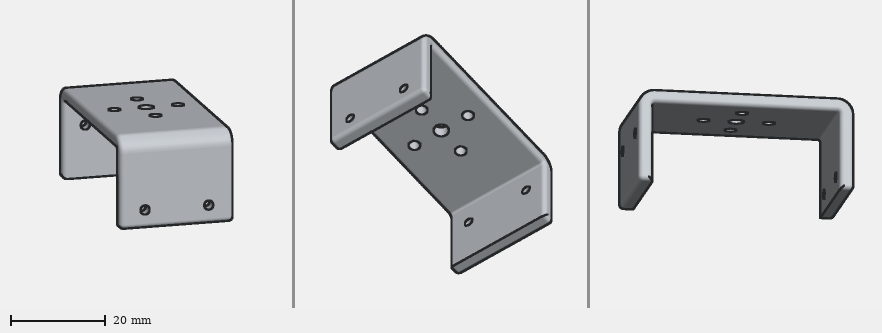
import cadquery as cq

LENGTH = 46.0
WIDTH = 25.0
HEIGHT = 20.0
THICKNESS = 3.0
BEND_OUTER_RADIUS = 3.5
BEND_INNER_RADIUS = BEND_OUTER_RADIUS - THICKNESS
EDGE_RADIUS = 1.0

CENTER_HOLE_DIAMETER = 3.2
PLATE_HOLE_DIAMETER = 2.5
PLATE_HOLE_CIRCLE_RADIUS = 7.0
PLATE_HOLE_COUNT = 4

LEG_HOLE_DIAMETER = 2.0
LEFT_HOLE_SPACING = 15.0
LEFT_HOLE_DEPTH = 8.5
RIGHT_HOLE_SPACING = 14.0
RIGHT_HOLE_DEPTH = 16.0

INNER_LENGTH = LENGTH - 2 * THICKNESS
INNER_HEIGHT = HEIGHT - THICKNESS
BASE_CENTERED = (True, True, False)


def bent_block(length, height, bend_radius):
    """Block standing on Z = 0 with its two long top bends rounded."""
    block = cq.Workplane("XY").box(length, WIDTH, height, centered=BASE_CENTERED)
    return block.edges("|Y and >Z").fillet(bend_radius)


def rounded_envelope():
    """Outside of the bracket, rounded along every outer edge."""
    block = bent_block(LENGTH, HEIGHT, BEND_OUTER_RADIUS)
    return block.faces("<Y or >Y or <Z").edges().fillet(EDGE_RADIUS)


def channel():
    """U channel whose inner side edges are rounded."""
    outside = bent_block(LENGTH, HEIGHT, BEND_OUTER_RADIUS)
    body = outside.cut(bent_block(INNER_LENGTH, INNER_HEIGHT, BEND_INNER_RADIUS))
    for side in (-1, 1):
        inner_leg_edge = (INNER_LENGTH / 2, side * WIDTH / 2, INNER_HEIGHT / 2)
        body = body.edges(cq.NearestToPointSelector(inner_leg_edge)).fillet(EDGE_RADIUS)
    return body


def plate_holes():
    """Drills for the center hole and the ring around it."""
    center = cq.Workplane("XY").circle(CENTER_HOLE_DIAMETER / 2).extrude(HEIGHT)
    ring = (
        cq.Workplane("XY")
        .polarArray(PLATE_HOLE_CIRCLE_RADIUS, 0, 360, PLATE_HOLE_COUNT)
        .circle(PLATE_HOLE_DIAMETER / 2)
        .extrude(HEIGHT)
    )
    return center.union(ring)


def leg_holes(side, spacing, depth_below_top):
    """Pair of drills through one leg; side is -1 for -X and 1 for +X."""
    z = HEIGHT - depth_below_top
    return (
        cq.Workplane("YZ")
        .pushPoints([(-spacing / 2, z), (spacing / 2, z)])
        .circle(LEG_HOLE_DIAMETER / 2)
        .extrude(side * LENGTH / 2)
    )


result = (
    rounded_envelope()
    .intersect(channel())
    .cut(plate_holes())
    .cut(leg_holes(-1, LEFT_HOLE_SPACING, LEFT_HOLE_DEPTH))
    .cut(leg_holes(1, RIGHT_HOLE_SPACING, RIGHT_HOLE_DEPTH))
)